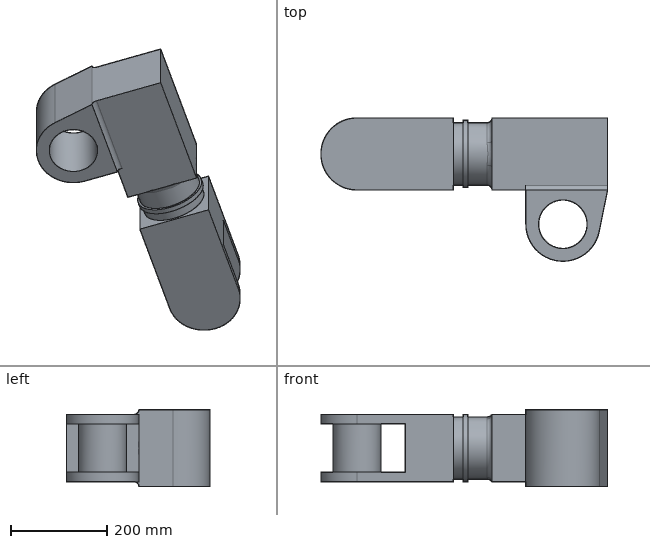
import cadquery as cq
import math


body_width = 150.0
body_height = 140.0
fork_end_x = 200.0
fork_slot_end_x = 100.0
fork_slot_height = 100.0
pin_diameter = 100.0

neck_diameter = 130.0
neck_length = 80.0
neck_fillet = 10.0
collar_diameter = 140.0
collar_offset = 20.0
collar_length = 10.0

block_length = 240.0
block_start_x = fork_end_x + neck_length
block_end_x = block_start_x + block_length
side_y = -body_width / 2

boss_height = 160.0
boss_start_x = 350.0
boss_base_length = 170.0
boss_radius = 77.0
boss_reach = 147.71
bore_diameter = 100.0
boss_end_x = boss_start_x + boss_base_length
bore_x = boss_start_x + boss_radius
bore_y = side_y - boss_reach + boss_radius
boss_step = (boss_height - body_height) / 2


def make_fork():
    """Clevis with a rounded end and a pin joining its two cheeks."""
    half_width = body_width / 2
    fork = (
        cq.Workplane("XY", origin=(0, 0, -body_height / 2))
        .moveTo(0, half_width)
        .threePointArc((-half_width, 0), (0, -half_width))
        .lineTo(fork_end_x, -half_width)
        .lineTo(fork_end_x, half_width)
        .close()
        .extrude(body_height)
    )
    slot_length = fork_slot_end_x + half_width
    slot = cq.Workplane("XY").box(slot_length, body_width, fork_slot_height)
    slot = slot.translate((fork_slot_end_x - slot_length / 2, 0, 0))
    pin = cq.Workplane("XY").circle(pin_diameter / 2).extrude(fork_slot_height / 2, both=True)
    return fork.cut(slot).union(pin)


def x_cylinder(start_x, diameter, length):
    """Cylinder on the X axis."""
    return cq.Workplane("YZ", origin=(start_x, 0, 0)).circle(diameter / 2).extrude(length)


def body_box(start_x, width):
    """Box of the body height, centred on the X axis, from start_x to the far end of the block."""
    length = block_end_x - start_x
    box = cq.Workplane("XY").box(length, width, body_height)
    return box.translate((start_x + length / 2, 0, 0))


def make_block_with_neck():
    """Rectangular block with the neck blended into its front face.

    The blend just touches the block's side edges, so it is rolled against a wider
    block, whose sides are then cut back to the body width.
    """
    neck = x_cylinder(fork_end_x, neck_diameter, neck_length)
    wide_block = body_box(block_start_x, body_width + 2 * neck_fillet)
    front_joint = cq.selectors.BoxSelector(
        (fork_end_x + neck_length / 2, -neck_diameter, -neck_diameter),
        (block_end_x, neck_diameter, neck_diameter),
    )
    blended = wide_block.union(neck).edges("%CIRCLE").edges(front_joint).fillet(neck_fillet)
    return blended.intersect(body_box(fork_end_x, body_width))


def make_boss():
    """Boss whose round end runs tangent into one straight and one slanted side."""
    corner_distance = math.hypot(boss_end_x - bore_x, side_y - bore_y)
    corner_angle = math.atan2(side_y - bore_y, boss_end_x - bore_x)
    tangent_angle = corner_angle - math.acos(boss_radius / corner_distance)
    tangent_point = (
        bore_x + boss_radius * math.cos(tangent_angle),
        bore_y + boss_radius * math.sin(tangent_angle),
    )
    return (
        cq.Workplane("XY", origin=(0, 0, -boss_height / 2))
        .moveTo(boss_start_x, side_y)
        .lineTo(boss_start_x, bore_y)
        .threePointArc((bore_x, bore_y - boss_radius), tangent_point)
        .lineTo(boss_end_x, side_y)
        .close()
        .moveTo(bore_x, bore_y)
        .circle(bore_diameter / 2)
        .extrude(boss_height)
    )


def make_boss_fillet():
    """Concave fillet from the block's top face up to the boss's top edge."""
    root_z = body_height / 2
    diagonal = boss_step * (1 - math.sqrt(0.5))
    return (
        cq.Workplane("YZ", origin=(boss_start_x, 0, 0))
        .moveTo(side_y, root_z)
        .lineTo(side_y + boss_step, root_z)
        .threePointArc((side_y + diagonal, root_z + diagonal), (side_y, root_z + boss_step))
        .close()
        .extrude(boss_base_length)
    )


collar = x_cylinder(fork_end_x + collar_offset, collar_diameter, collar_length)
top_fillet = make_boss_fillet()
bottom_fillet = top_fillet.mirror("XY")

result = (
    make_block_with_neck()
    .union(make_fork())
    .union(collar)
    .union(make_boss())
    .union(top_fillet)
    .union(bottom_fillet)
)